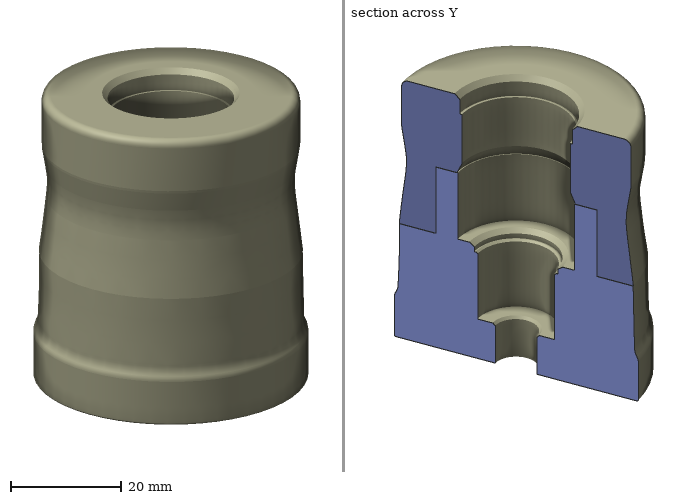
import cadquery as cq
import math

height = 55.0
base_radius = 50.0 / 2

joint_z = 24.3
spigot_radius = 16.5
spigot_top_z = 38.4
spigot_bore_radius = 11.8

foot_round = 0.4
foot_top_z = 8.45
shoulder_radius = 24.75
shoulder_z = 9.35
skirt_bottom_radius = 24.2
skirt_bottom_z = 11.5
skirt_top_radius = 23.9
shoulder_round_bulge = 0.05
shoulder_fillet_hollow = 0.15

floor_z = joint_z
funnel_slope = math.radians(35)
funnel_radius = 9.5
throat_radius = 8.45
throat_depth = 1.0
recess_mouth_radius = 8.25
recess_radius = 7.8
recess_floor_z = foot_top_z
screw_hole_radius = 4.25
screw_hole_chamfer = 0.5

sleeve_bottom_radius = 24.0
waist_bottom_radius = 22.65
waist_bottom_z = 35.2
waist_middle_radius = 22.5
waist_top_radius = 22.8
waist_top_z = 41.1
flare_top_radius = 23.45
flare_top_z = 44.65
head_radius = 23.5
head_bottom_z = 45.15
head_round = 1.5

mouth_chamfer = 1.0
mouth_radius = 11.5
mouth_floor_z = 51.0
bore_radius = 11.0
bore_bottom_z = 40.6
relief_slope = math.radians(25)
relief_radius = bore_radius + (bore_bottom_z - spigot_top_z) * math.tan(relief_slope)


def bowed_point(start, end, bulge):
    """Point midway between two profile points, moved outward in radius by the bulge."""
    return ((start[0] + end[0]) / 2 + bulge, (start[1] + end[1]) / 2)


def turn(profile):
    """Close a (radius, z) profile and revolve it about the Z axis."""
    return profile.close().revolve(360, (0, 0, 0), (0, 1, 0))


def make_base():
    """Foot with a skirt, a locating spigot and a stepped screw recess."""
    foot_top = (base_radius, foot_top_z)
    shoulder = (shoulder_radius, shoulder_z)
    skirt_bottom = (skirt_bottom_radius, skirt_bottom_z)
    throat_top_z = floor_z - (funnel_radius - throat_radius) * math.tan(funnel_slope)
    throat_z = throat_top_z - throat_depth
    recess_top_z = throat_z - (recess_mouth_radius - recess_radius) * math.tan(funnel_slope)

    profile = (
        cq.Workplane("XZ")
        .moveTo(screw_hole_radius, 0)
        .lineTo(base_radius - foot_round, 0)
        .radiusArc((base_radius, foot_round), -foot_round)
        .lineTo(*foot_top)
        .threePointArc(bowed_point(foot_top, shoulder, shoulder_round_bulge), shoulder)
        .threePointArc(bowed_point(shoulder, skirt_bottom, -shoulder_fillet_hollow), skirt_bottom)
        .lineTo(skirt_top_radius, joint_z)
        .lineTo(spigot_radius, joint_z)
        .lineTo(spigot_radius, spigot_top_z)
        .lineTo(spigot_bore_radius, spigot_top_z)
        .lineTo(spigot_bore_radius, floor_z)
        .lineTo(funnel_radius, floor_z)
        .lineTo(throat_radius, throat_top_z)
        .lineTo(throat_radius, throat_z)
        .lineTo(recess_mouth_radius, throat_z)
        .lineTo(recess_radius, recess_top_z)
        .lineTo(recess_radius, recess_floor_z)
        .lineTo(screw_hole_radius + screw_hole_chamfer, recess_floor_z)
        .lineTo(screw_hole_radius, recess_floor_z - screw_hole_chamfer)
    )
    return turn(profile)


def make_sleeve():
    """Waisted sleeve with a stepped bore, seated on the base and around its spigot."""
    waist_bottom = (waist_bottom_radius, waist_bottom_z)
    waist_top = (waist_top_radius, waist_top_z)
    waist_middle = (waist_middle_radius, (waist_bottom_z + waist_top_z) / 2)

    profile = (
        cq.Workplane("XZ")
        .moveTo(spigot_radius, joint_z)
        .lineTo(sleeve_bottom_radius, joint_z)
        .lineTo(*waist_bottom)
        .threePointArc(waist_middle, waist_top)
        .lineTo(flare_top_radius, flare_top_z)
        .lineTo(head_radius, head_bottom_z)
        .lineTo(head_radius, height - head_round)
        .radiusArc((head_radius - head_round, height), -head_round)
        .lineTo(mouth_radius + mouth_chamfer, height)
        .lineTo(mouth_radius, height - mouth_chamfer)
        .lineTo(mouth_radius, mouth_floor_z)
        .lineTo(bore_radius, mouth_floor_z)
        .lineTo(bore_radius, bore_bottom_z)
        .lineTo(relief_radius, spigot_top_z)
        .lineTo(spigot_radius, spigot_top_z)
    )
    return turn(profile)


base = make_base()
sleeve = make_sleeve()
result = cq.Compound.makeCompound([base.val(), sleeve.val()])